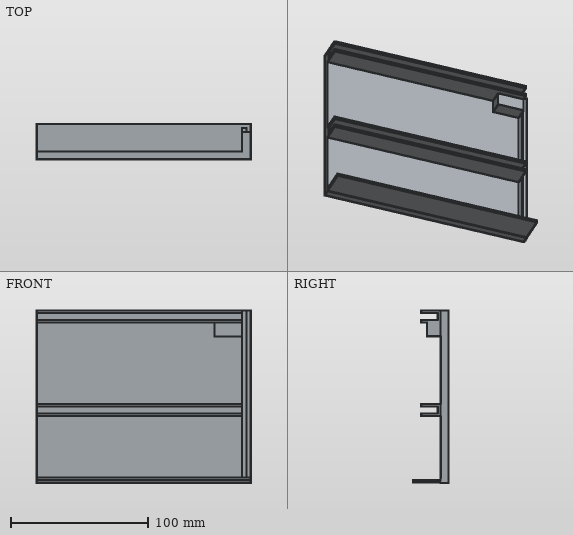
import cadquery as cq

length = 156.5
depth = 26.0
height = 126.1

plate_thickness = 5.8
back_edge_radius = 0.6

shelf_thickness = 1.7
shelf_height = 0.5

end_margin = 6.4
rib_reach = 20.0
rib_thickness = 2.0
channel_gap = 5.0
channel_floor = 8.0
channel_height = 2 * rib_thickness + channel_gap
middle_channel_drop = 68.2

block_length = 20.0
block_side = 10.0

foot_height = 4.2
foot_step = 0.2

groove_width = 3.3
groove_depth = 2.7

channel_length = length - end_margin
plate_front = -plate_thickness


def box(x, y, z, size_x, size_y, size_z):
    """Box with its lowest corner at x, y, z."""
    return cq.Workplane("XY").box(size_x, size_y, size_z, centered=False).translate((x, y, z))


def make_plate():
    """Upright plate, its back at Y = 0, with a thicker foot and rounded upper and lower back edges."""
    plate = box(0, plate_front, 0, length, plate_thickness, height)
    foot = box(0, plate_front - foot_step, 0, length, plate_thickness + foot_step, foot_height)
    plate = plate.union(foot)
    return plate.faces(">Y").edges("|X").fillet(back_edge_radius)


def make_channel(top):
    """Pair of ribs joined by a raised floor, running from the -X end."""
    bottom = top - channel_height
    root = plate_front / 2
    body = box(0, -rib_reach, bottom, channel_length, rib_reach + root, channel_height)
    slot = box(
        0, -rib_reach, bottom + rib_thickness,
        channel_length, rib_reach - channel_floor, channel_gap,
    )
    return body.cut(slot)


def make_groove():
    """Square-cornered groove near the +X edge, open at the top and ending at the foot."""
    return box(
        channel_length, plate_front, foot_height,
        groove_width, groove_depth, height - foot_height,
    )


shelf = box(0, -depth, shelf_height, length, depth - plate_thickness, shelf_thickness)
block = box(
    channel_length - block_length, plate_front - block_side, height - channel_height - block_side,
    block_length, block_side, block_side,
)

result = make_plate().cut(make_groove()).union(shelf).union(block)
for channel_top in (height, height - middle_channel_drop):
    result = result.union(make_channel(channel_top))